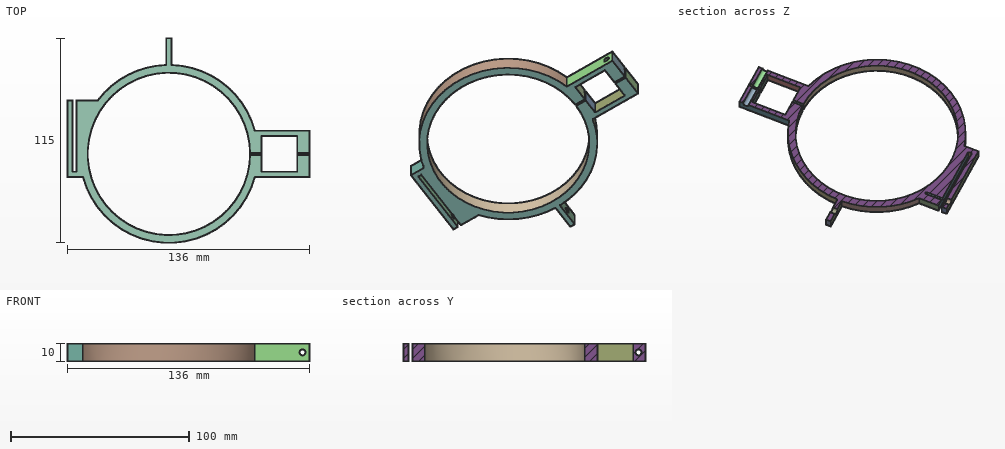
import cadquery as cq
import math

thickness = 10.0
mid_height = thickness / 2

ring_outer_radius = 50.0
ring_inner_radius = 45.5

tab_width = 3.0
tab_length = 15.0
tab_end_y = ring_outer_radius + tab_length

clamp_wall = 3.0
clamp_window = 20.0
clamp_window_start_x = 52.0
clamp_end_x = 79.0
clamp_width = clamp_window + 2 * clamp_wall
clamp_split = 1.0
clamp_screw_inset = 4.0

block_start_x = -57.0
block_top_y = 30.0
block_bottom_y = -clamp_width / 2
arm_thickness = 3.0
slot_width = 2.0
slot_bottom_y = block_bottom_y + clamp_wall
slot_start_x = block_start_x + arm_thickness
slot_end_x = slot_start_x + slot_width
arm_screw_inset = 5.0

screw_diameter = 3.2
pilot_diameter = 1.0
pilot_depth = 10.0
drill_point_angle = 118.0


def block(x_start, x_end, y_start, y_end):
    """Full-thickness rectangular block between the given X and Y limits."""
    return cq.Workplane("XY").box(
        x_end - x_start, y_end - y_start, thickness, centered=False
    ).translate((x_start, y_start, 0))


def hole_along_x(diameter, x_start, x_end, y):
    """Mid-height cylinder running in X."""
    start = cq.Vector(x_start, y, mid_height)
    return cq.Workplane(cq.Solid.makeCylinder(diameter / 2, x_end - x_start, start, cq.Vector(1, 0, 0)))


def hole_along_y(diameter, y_start, y_end, x):
    """Mid-height cylinder running in Y."""
    start = cq.Vector(x, y_start, mid_height)
    return cq.Workplane(cq.Solid.makeCylinder(diameter / 2, y_end - y_start, start, cq.Vector(0, 1, 0)))


def drill_point_along_x(diameter, x_start, y):
    """Mid-height cone left by a drill tip, pointing in +X."""
    radius = diameter / 2
    length = radius / math.tan(math.radians(drill_point_angle / 2))
    start = cq.Vector(x_start, y, mid_height)
    return cq.Workplane(cq.Solid.makeCone(radius, 0, length, start, cq.Vector(1, 0, 0)))


body = cq.Workplane("XY").circle(ring_outer_radius).extrude(thickness)
body = body.union(block(-tab_width / 2, tab_width / 2, 0, tab_end_y))
body = body.union(block(0, clamp_end_x, -clamp_width / 2, clamp_width / 2))
body = body.union(block(block_start_x, 0, block_bottom_y, block_top_y))

body = body.cut(cq.Workplane("XY").circle(ring_inner_radius).extrude(thickness))

clamp_window_end_x = clamp_window_start_x + clamp_window
body = body.cut(block(clamp_window_start_x, clamp_window_end_x, -clamp_window / 2, clamp_window / 2))
body = body.cut(block(0, clamp_end_x, -clamp_split / 2, clamp_split / 2))
clamp_screw_x = clamp_end_x - clamp_screw_inset
body = body.cut(hole_along_y(screw_diameter, -clamp_width / 2, clamp_width / 2, clamp_screw_x))

body = body.cut(block(slot_start_x, slot_end_x, slot_bottom_y, block_top_y))
arm_screw_y = block_top_y - arm_screw_inset
body = body.cut(hole_along_x(screw_diameter, block_start_x, slot_start_x, arm_screw_y))
pilot_end_x = slot_end_x + pilot_depth
body = body.cut(hole_along_x(pilot_diameter, slot_end_x, pilot_end_x, arm_screw_y))
body = body.cut(drill_point_along_x(pilot_diameter, pilot_end_x, arm_screw_y))

tab_hole_y = ring_outer_radius + tab_length / 2
body = body.cut(hole_along_x(screw_diameter, -tab_width / 2, tab_width / 2, tab_hole_y))

result = body